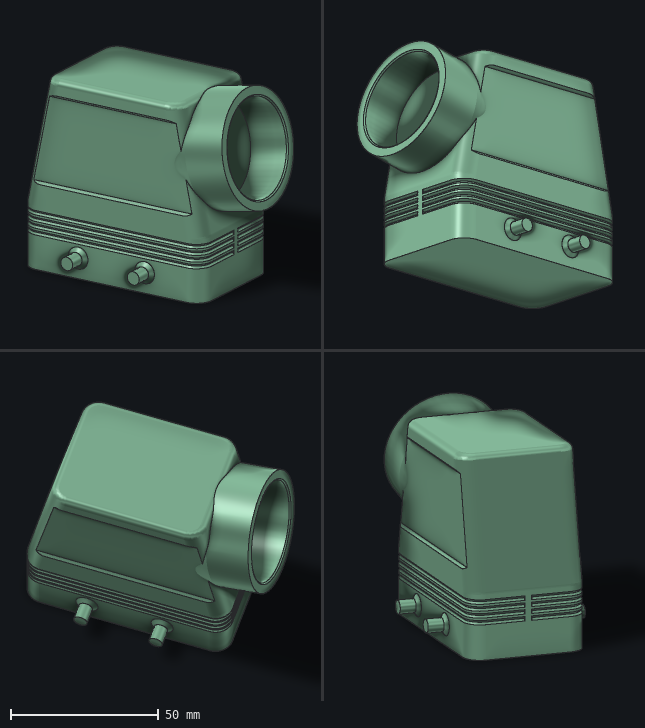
import cadquery as cq
import math

overall_length = 86.2
overall_width = 57.0
overall_height = 73.1

body_length = 73.2
body_width = 42.9
body_height = 69.9
bend_height = 23.5
bend_radius = 4.3
wall_tilt = 11.5
corner_radius = 6.1
top_edge_radius = 2.4

recess_depth = 0.95
recess_floor_bottom = 31.9
recess_floor_top = 63.2

groove_count = 4
groove_pitch = 2.4
groove_depth = 0.7
groove_height = 1.55
lowest_groove_height = 13.3
groove_gap = 2.5

pin_spacing = 26.9
pin_height = 7.5
pin_radius = 2.4
collar_radius = 4.0
collar_height = 1.3

tube_radius = body_width / 2
tube_length = 15.3
neck_length = 7.8
neck_taper = 10
bore_radius = 17.8
bore_chamfer = 0.5

clearance = 0.9

tilt = math.radians(wall_tilt)
half_length = body_length / 2
half_width = body_width / 2

mouth_x = overall_length - half_length - tube_radius * math.sin(tilt)
mouth_z = overall_height - tube_radius * math.cos(tilt)


def make_body():
    """Hood with straight lower walls and short sides that lean inward above the bend."""
    top_half_length = half_length - (body_height - bend_height) * math.tan(tilt)
    body = (
        cq.Workplane("XZ")
        .polyline([
            (-half_length, 0),
            (half_length, 0),
            (half_length, bend_height),
            (top_half_length, body_height),
            (-top_half_length, body_height),
            (-half_length, bend_height),
        ])
        .close()
        .extrude(half_width, both=True)
    )
    at_bend = cq.selectors.BoxSelector(
        (-overall_length, -overall_width, bend_height - clearance),
        (overall_length, overall_width, bend_height + clearance),
    )
    body = body.edges("|Y").edges(at_bend).fillet(bend_radius)
    body = body.edges("not(|Y or |X)").fillet(corner_radius)
    return body.faces(">Z").edges().fillet(top_edge_radius)


def make_recess(side):
    """Cutter for the recess on the long side at +Y (side = 1) or -Y (side = -1)."""
    floor = side * (half_width - recess_depth)
    outside = side * (half_width + recess_depth)
    return (
        cq.Workplane("YZ")
        .polyline([
            (floor, recess_floor_bottom),
            (floor, recess_floor_top),
            (outside, recess_floor_top + 2 * recess_depth),
            (outside, recess_floor_bottom - 2 * recess_depth),
        ])
        .close()
        .extrude(half_length, both=True)
    )


def make_groove(middle_height):
    """Cutter for one V groove around the body, leaving the gap on both short sides."""
    half_height = groove_height / 2
    flank_angle = math.degrees(math.atan(groove_depth / half_height))
    band = (
        cq.Workplane("XY", origin=(0, 0, middle_height))
        .box(body_length + 2 * clearance, body_width + 2 * clearance, groove_height)
    )
    for direction in (1, -1):
        core = (
            cq.Workplane("XY", origin=(0, 0, middle_height - direction * half_height))
            .sketch()
            .rect(body_length, body_width)
            .vertices()
            .fillet(corner_radius)
            .finalize()
            .extrude(direction * half_height, taper=flank_angle)
        )
        band = band.cut(core)
    gap = (
        cq.Workplane("XY", origin=(0, 0, middle_height))
        .box(2 * body_length, groove_gap, 2 * groove_height)
    )
    return band.cut(gap)


def make_pin(x, side):
    """Pin with a conical collar, from the middle of the body out past one long side."""
    reach = overall_width / 2
    pin = (
        cq.Workplane("XY")
        .moveTo(0, 0)
        .lineTo(collar_radius, 0)
        .lineTo(collar_radius, half_width)
        .lineTo(pin_radius, half_width + collar_height)
        .lineTo(pin_radius, reach)
        .lineTo(0, reach)
        .close()
        .revolve(360, (0, 0), (0, 1))
    )
    if side < 0:
        pin = pin.mirror("XZ")
    return pin.translate((x, 0, pin_height))


def make_mouth_plane():
    """Plane of the tube mouth, facing out along the tube."""
    return cq.Plane(
        origin=(mouth_x, 0, mouth_z),
        xDir=(0, 1, 0),
        normal=(math.cos(tilt), 0, math.sin(tilt)),
    )


def make_cable_entry():
    """Tube with the tapered neck that blends it into the tilted wall."""
    mouth = cq.Workplane(make_mouth_plane())
    tube = mouth.circle(tube_radius).extrude(-tube_length)
    neck = (
        mouth.workplane(offset=-tube_length)
        .circle(tube_radius)
        .extrude(-neck_length, taper=neck_taper)
    )
    return tube.union(neck)


def make_bore():
    """Blind bore as deep as the tube, with a chamfered rim."""
    mouth = cq.Workplane(make_mouth_plane())
    bore = mouth.circle(bore_radius).extrude(-tube_length)
    rim = mouth.circle(bore_radius + bore_chamfer).extrude(-bore_chamfer, taper=45)
    return bore.union(rim)


result = make_body()
for side in (1, -1):
    result = result.cut(make_recess(side))
for index in range(groove_count):
    result = result.cut(make_groove(lowest_groove_height + index * groove_pitch))
for side in (1, -1):
    for x in (-pin_spacing / 2, pin_spacing / 2):
        result = result.union(make_pin(x, side))
result = result.union(make_cable_entry()).cut(make_bore())